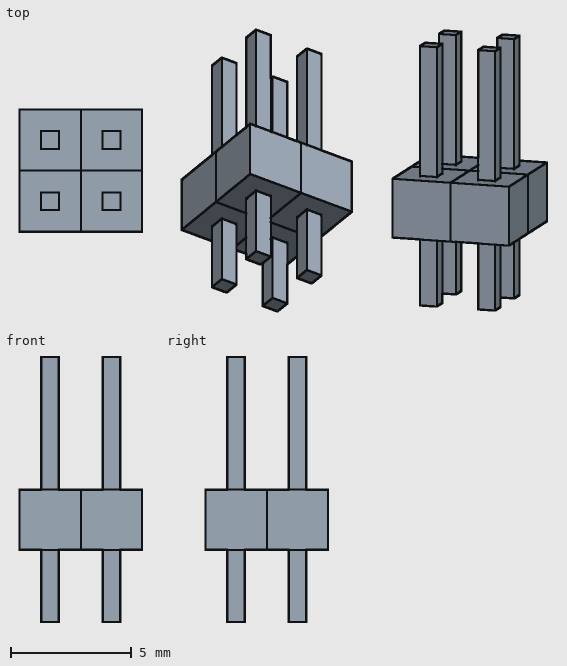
import cadquery as cq

total_height = 11.0
block_height = 2.5
tail_length = 3.0
block_width = 2.54
pin_width = 0.74
rows = 2
columns = 2


def make_block(x, y):
    """Insulator block with a square through-hole that fits its pin."""
    body = cq.Workplane("XY").box(block_width, block_width, block_height, centered=(True, True, False))
    hole = cq.Workplane("XY").box(pin_width, pin_width, block_height, centered=(True, True, False))
    return body.cut(hole).translate((x, y, tail_length))


def make_pin(x, y):
    """Straight square pin running the full height."""
    pin = cq.Workplane("XY").box(pin_width, pin_width, total_height, centered=(True, True, False))
    return pin.translate((x, y, 0))


blocks = []
pins = []
for column in range(columns):
    for row in range(rows):
        x = (column - (columns - 1) / 2) * block_width
        y = (row - (rows - 1) / 2) * block_width
        blocks.append(make_block(x, y).val())
        pins.append(make_pin(x, y).val())

result = cq.Compound.makeCompound([*blocks, *pins])